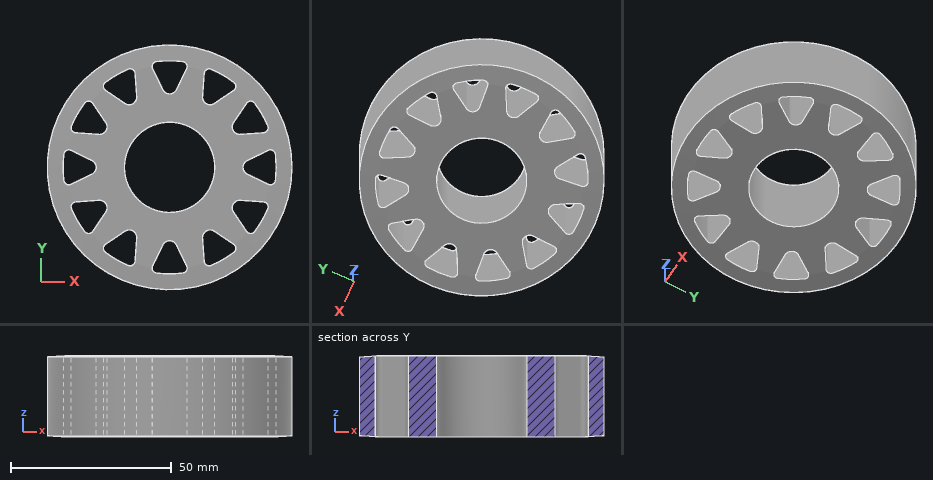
import cadquery as cq
import math

outer_radius = 76.2 / 2
height = 25.4
bore_radius = 28.0 / 2

flat_radius = 63.5 / 2
rim_drop = 0.4

window_count = 12
window_outer_radius = 33.1
window_tip_radius = 22.87
window_half_angle = math.radians(26.0)
tip_fillet = 2.3
corner_fillet = 1.5


def make_body():
    """Revolved ring with flat hub faces and slightly conical rim faces."""
    half_height = height / 2
    rim_half_height = half_height - rim_drop
    profile = (
        cq.Workplane("XZ")
        .moveTo(bore_radius, -half_height)
        .lineTo(flat_radius, -half_height)
        .lineTo(outer_radius, -rim_half_height)
        .lineTo(outer_radius, rim_half_height)
        .lineTo(flat_radius, half_height)
        .lineTo(bore_radius, half_height)
        .close()
    )
    return profile.revolve(360, (0, 0, 0), (0, 1, 0))


def make_window():
    """Full-height cutter on +X: a wedge pointing at the axis, closed by an arc, with rounded corners."""
    sharp_tip = window_tip_radius - tip_fillet * (1 / math.sin(window_half_angle) - 1)
    corner_angle = window_half_angle - math.asin(
        sharp_tip * math.sin(window_half_angle) / window_outer_radius
    )
    corner_x = window_outer_radius * math.cos(corner_angle)
    corner_y = window_outer_radius * math.sin(corner_angle)
    return (
        cq.Workplane("XY")
        .workplane(offset=-height / 2)
        .moveTo(sharp_tip, 0)
        .lineTo(corner_x, -corner_y)
        .threePointArc((window_outer_radius, 0), (corner_x, corner_y))
        .close()
        .extrude(height)
        .edges("|Z and <X")
        .fillet(tip_fillet)
        .edges("|Z and (>Y or <Y)")
        .fillet(corner_fillet)
    )


def cut_windows(body):
    """Cut the windows, evenly spaced around the axis."""
    window = make_window()
    for index in range(window_count):
        angle = index * 360 / window_count
        body = body.cut(window.rotate((0, 0, 0), (0, 0, 1), angle))
    return body


result = cut_windows(make_body())